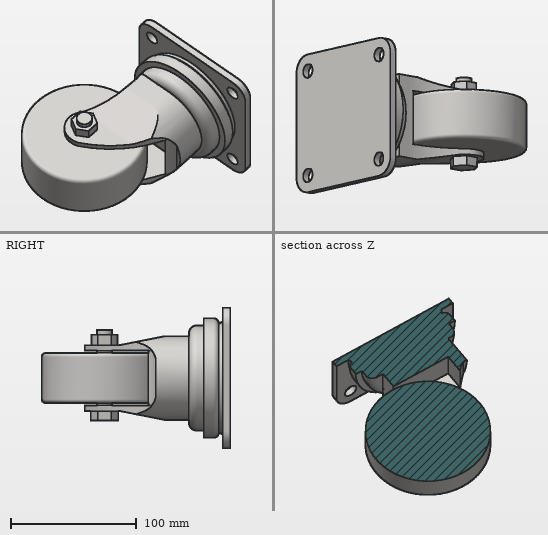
import cadquery as cq
import math


overall_length = 150.0

plate_side = 112.0
plate_thickness = 6.0
plate_corner_radius = 13.5
bolt_hole_spacing = 84.9
bolt_hole_diameter = 11.0

neck_radius = 45.0
groove_radius = 43.5
groove_depth = 9.0
race_radius = 47.7
race_depth = 21.2
race_rounding = 4.5
cup_radius = 42.0
cup_depth = 33.0
cup_rounding = 6.6

wheel_radius = 50.0
wheel_width = 39.9
wheel_rounding = 3.0
wheel_x = -32.0
wheel_y = wheel_radius - overall_length
axle_radius = 6.2
axle_top_z = 38.4
nut_flats = 18.2
nut_height = 8.2
head_flats = 19.2
head_height = 7.6

fork_radius = 33.5
fork_left_x = -29.7
fork_straight_depth = 44.0
fork_skirt_depth = 59.1
skirt_x = 30.0
skirt_curve_end = (20.2, -69.0)
arm_edge_middle = (4.6, -91.5)
arm_end_radius = 15.9
arm_edge_angle = math.radians(-63.0)
arm_end_middle_angle = math.radians(-120.0)
slot_width = 43.5
slot_depth = 48.0
slot_end_x = 22.8
arm_thickness = 4.5
arm_outer_z = slot_width / 2 + arm_thickness
taper_start_depth = 51.9
taper_end_depth = 88.0


def revolved_section(points):
    """Turn a half section of (radius, y) points around the swivel axis."""
    return cq.Workplane("XY").polyline(points).close().revolve(360, (0, 0), (0, 1))


def make_plate():
    plate = (
        cq.Workplane("XZ")
        .rect(plate_side, plate_side)
        .extrude(plate_thickness)
        .edges("|Y")
        .fillet(plate_corner_radius)
    )
    holes = (
        cq.Workplane("XZ")
        .rect(bolt_hole_spacing, bolt_hole_spacing, forConstruction=True)
        .vertices()
        .circle(bolt_hole_diameter / 2)
        .extrude(plate_thickness)
    )
    return plate.cut(holes)


def make_swivel_head():
    neck = revolved_section([
        (0, -plate_thickness),
        (neck_radius, -plate_thickness),
        (groove_radius, -groove_depth),
        (0, -groove_depth),
    ])
    race = (
        cq.Workplane("XZ", origin=(0, -groove_depth, 0))
        .circle(race_radius)
        .extrude(race_depth - groove_depth)
        .edges(">Y")
        .fillet(race_rounding)
    )
    cup = (
        cq.Workplane("XZ", origin=(0, -race_depth, 0))
        .circle(cup_radius)
        .extrude(cup_depth - race_depth)
        .edges("<Y")
        .fillet(cup_rounding)
    )
    return neck.union(race).union(cup)


def fork_side_outline():
    """Side profile of the fork, from the swivel head down to the axle."""
    across = wheel_x - fork_left_x
    down = wheel_y + fork_straight_depth
    left_radius = (across**2 + down**2 - arm_end_radius**2) / (2 * (arm_end_radius - across))
    left_center_x = fork_left_x - left_radius
    touch_angle = math.atan2(down, wheel_x - left_center_x)

    def on_left_arc(angle):
        return (
            left_center_x + left_radius * math.cos(angle),
            -fork_straight_depth + left_radius * math.sin(angle),
        )

    def on_arm_end(angle):
        return (
            wheel_x + arm_end_radius * math.cos(angle),
            wheel_y + arm_end_radius * math.sin(angle),
        )

    return (
        cq.Workplane("XY")
        .moveTo(fork_radius, -cup_depth)
        .lineTo(fork_left_x, -cup_depth)
        .lineTo(fork_left_x, -fork_straight_depth)
        .threePointArc(on_left_arc(touch_angle / 2), on_left_arc(touch_angle))
        .threePointArc(on_arm_end(arm_end_middle_angle), on_arm_end(arm_edge_angle))
        .threePointArc(arm_edge_middle, skirt_curve_end)
        .tangentArcPoint((skirt_x, -fork_skirt_depth), relative=False)
        .lineTo(fork_radius, -fork_skirt_depth)
        .close()
    )


def make_fork():
    side = fork_side_outline().extrude(fork_radius, both=True)

    plan = (
        cq.Workplane("XZ")
        .moveTo(0, fork_radius)
        .threePointArc((fork_radius, 0), (0, -fork_radius))
        .lineTo(wheel_x - wheel_radius, -fork_radius)
        .lineTo(wheel_x - wheel_radius, fork_radius)
        .close()
        .extrude(overall_length)
    )

    half_taper = [
        (-cup_depth, fork_radius),
        (-taper_start_depth, fork_radius),
        (-taper_end_depth, arm_outer_z),
        (-overall_length, arm_outer_z),
    ]
    mirrored = [(y, -z) for y, z in reversed(half_taper)]
    taper = (
        cq.Workplane("YZ")
        .polyline(half_taper + mirrored)
        .close()
        .extrude(overall_length, both=True)
    )

    slot = cq.Workplane("XY").box(
        overall_length, overall_length, slot_width, centered=(False, False, True)
    ).translate((slot_end_x - overall_length, -slot_depth - overall_length, 0))
    return side.intersect(plan).intersect(taper).cut(slot)


def make_hexagon(flats, height, base_z):
    """Hexagonal prism on the axle with two corners pointing along Y."""
    return (
        cq.Workplane("XY")
        .polygon(6, flats / math.cos(math.pi / 6))
        .extrude(height)
        .rotate((0, 0, 0), (0, 0, 1), 30)
        .translate((wheel_x, wheel_y, base_z))
    )


def make_wheel_and_axle():
    wheel = (
        cq.Workplane("XY")
        .center(wheel_x, wheel_y)
        .circle(wheel_radius)
        .extrude(wheel_width / 2, both=True)
        .faces("<Z or >Z")
        .edges()
        .fillet(wheel_rounding)
    )
    axle = (
        cq.Workplane("XY", origin=(wheel_x, wheel_y, -arm_outer_z))
        .circle(axle_radius)
        .extrude(arm_outer_z + axle_top_z)
    )
    nut = make_hexagon(nut_flats, nut_height, arm_outer_z)
    head = make_hexagon(head_flats, head_height, -arm_outer_z - head_height)
    return wheel.union(axle).union(nut).union(head)


result = make_plate().union(make_swivel_head()).union(make_fork()).union(make_wheel_and_axle())